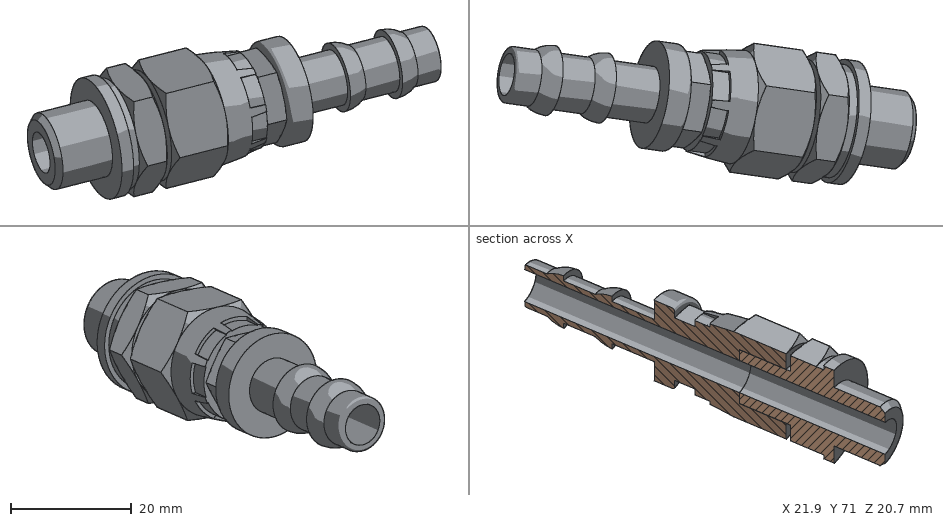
import cadquery as cq
import math


total_length = 70.95
bore_diameter = 7.0
large_hex_flats = 19.0
hex_corner_ratio = 1 / math.cos(math.radians(30))
nut_chamfer_angle = 30.0

stud_diameter = 13.1
stud_chamfer = 1.0
collar_diameter = 20.7
collar_front = 10.0
collar_back = 12.1
adapter_hex_front = 13.55
adapter_hex_back = 18.65
neck_diameter = 12.1
neck_length = 10.0
neck_end = adapter_hex_back + neck_length

nut_gap = 0.8
nut_front = adapter_hex_back + nut_gap
nut_hex_back = 29.8
nut_back = 37.45
crimp_tip_diameter = 16.95
crimp_middle_diameter = 18.15
slot_count = 8
slot_width = 5.3
slot_length = 3.0
slot_floor_diameter = 16.6

small_hex_flats = 14.0
small_hex_chamfer_diameter = 14.25
small_hex_chamfer_angle = 15.0
flange_diameter = 18.0
flange_front = 41.35
flange_back = 45.5
flange_fillet = 0.65

tube_diameter = 9.5
tube_end_fillet = 0.5
barb_diameter = 11.8
barb_length = 3.3
barb_pitch = 9.5
barb_count = 2
last_barb_tip = total_length - 4.4


def cylinder(diameter, y_start, y_end):
    """Cylinder around the Y axis between two stations."""
    disc = cq.Workplane("XZ", origin=(0, y_start, 0)).circle(diameter / 2)
    return disc.extrude(y_start - y_end)


def chamfered_hex(flats, y_start, y_end, end_diameter, angle):
    """Hexagon with corners on the X axis, both ends turned conical from end_diameter outwards."""
    corners = flats * hex_corner_ratio
    prism = cq.Workplane("XZ", origin=(0, y_start, 0)).polygon(6, corners).extrude(y_start - y_end)
    end_radius = end_diameter / 2
    corner_radius = corners / 2
    drop = (corner_radius - end_radius) * math.tan(math.radians(angle))
    turned = (
        cq.Workplane("XY")
        .moveTo(0, y_start)
        .lineTo(end_radius, y_start)
        .lineTo(corner_radius, y_start + drop)
        .lineTo(corner_radius, y_end - drop)
        .lineTo(end_radius, y_end)
        .lineTo(0, y_end)
        .close()
        .revolve(360, (0, 0, 0), (0, 1, 0))
    )
    return prism.intersect(turned)


def make_adapter():
    """Stud, sealing collar, hexagon and the neck that enters the nut."""
    stud = cylinder(stud_diameter, 0, collar_front).faces("<Y").chamfer(stud_chamfer)
    collar = cylinder(collar_diameter, collar_front, collar_back)
    undercut = cylinder(large_hex_flats, collar_back, adapter_hex_front)
    hexagon = chamfered_hex(
        large_hex_flats, adapter_hex_front, adapter_hex_back, large_hex_flats, nut_chamfer_angle
    )
    neck = cylinder(neck_diameter, adapter_hex_back, neck_end)
    body = stud.union(collar).union(undercut).union(hexagon).union(neck)
    return body.cut(cylinder(bore_diameter, 0, neck_end))


def make_crimp_slots():
    """Ring of flat-sided slots around the back end of the nut, over a round floor."""
    slot_start = nut_back - slot_length
    blade_height = large_hex_flats / 2
    blade = cq.Workplane("XY").box(
        slot_width, slot_length, blade_height, centered=(True, False, False)
    ).translate((0, slot_start, 0))
    slots = cq.Workplane("XY")
    for i in range(slot_count):
        slots = slots.union(blade.rotate((0, 0, 0), (0, 1, 0), i * 360 / slot_count))
    return slots.cut(cylinder(slot_floor_diameter, slot_start, nut_back))


def make_nut_section():
    """Nut hexagon followed by a rounded, slotted crimp collar."""
    hexagon = chamfered_hex(
        large_hex_flats, nut_front, nut_hex_back, large_hex_flats, nut_chamfer_angle
    )
    crimp = (
        cq.Workplane("XY")
        .moveTo(0, nut_hex_back)
        .lineTo(large_hex_flats / 2, nut_hex_back)
        .threePointArc(
            (crimp_middle_diameter / 2, (nut_hex_back + nut_back) / 2),
            (crimp_tip_diameter / 2, nut_back),
        )
        .lineTo(0, nut_back)
        .close()
        .revolve(360, (0, 0, 0), (0, 1, 0))
    )
    return hexagon.union(crimp.cut(make_crimp_slots()))


def make_barb(tip):
    """Barb that swells from the tube at its tip and ends in a square shoulder."""
    shoulder = tip - barb_length
    rise = (barb_diameter - tube_diameter) / 2
    swell_radius = (barb_length ** 2 + rise ** 2) / (2 * rise)
    return (
        cq.Workplane("XY")
        .moveTo(0, shoulder)
        .lineTo(barb_diameter / 2, shoulder)
        .radiusArc((tube_diameter / 2, tip), -swell_radius)
        .lineTo(0, tip)
        .close()
        .revolve(360, (0, 0, 0), (0, 1, 0))
    )


def make_hose_tail():
    """Union nut, small hexagon, flange and barbed tube with a through bore."""
    hexagon = chamfered_hex(
        small_hex_flats, nut_back, flange_front, small_hex_chamfer_diameter, small_hex_chamfer_angle
    )
    flange = cylinder(flange_diameter, flange_front, flange_back).faces("<Y").edges().fillet(flange_fillet)
    tube = cylinder(tube_diameter, flange_back, total_length).faces(">Y").edges().fillet(tube_end_fillet)
    body = make_nut_section().union(hexagon).union(flange).union(tube)
    for i in range(barb_count):
        body = body.union(make_barb(last_barb_tip - i * barb_pitch))
    neck_recess = cylinder(neck_diameter, nut_front, neck_end)
    bore = cylinder(bore_diameter, nut_front, total_length)
    return body.cut(neck_recess).cut(bore)


adapter = make_adapter()
hose_tail = make_hose_tail()

result = cq.Compound.makeCompound([adapter.val(), hose_tail.val()])